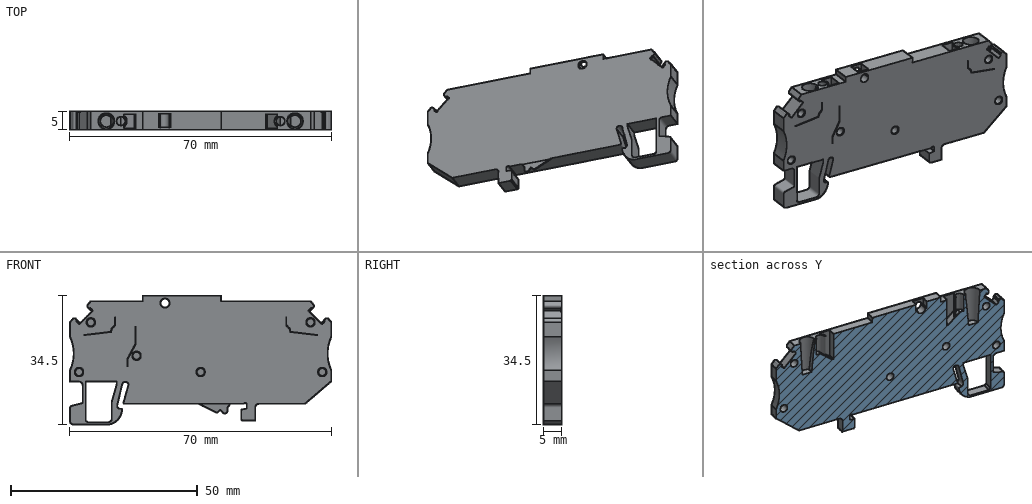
import cadquery as cq
import math

length = 70.0
thickness = 5.0
height = 34.5
cover_thickness = 0.3

front_y = -thickness / 2
back_y = thickness / 2
cover_y = back_y - cover_thickness
mid_x = length / 2
cavity_y = (front_y + cover_y) / 2

shoulder_z = height - 1.45
base_z = 5.5
wing_z = 11.45
arm_outer_x = 3.4
wing_fillet = 1.0
foot_fillet = 0.9
block_left = 19.5
block_right = 40.5

grip_low = 14.5
grip_high = 23.5
grip_depth = 1.0

lip_height = 27.4
lip_top = 28.5
lip_round_z = 28.2
lip_outer = 0.75
lip_inner = 1.65
hook_x = 4.8
hook_low = 31.35
hook_high = 32.1
hook_tip_x = 4.65
hook_top_x = 5.6
notch_low = (2.75, 27.1)
notch_high = (5.9, 30.25)
undercut_shift = 0.25
undercut_width = 0.75

entry_x = 9.75
entry_diameter = 4.3
entry_floor_diameter = 3.2
entry_depth = 10.0
entry_flat = 1.15
entry_flat_top = 1.6

probe_x = 13.65
probe_diameter = 2.35
probe_wall_diameter = 3.25
probe_depth = 5.0
release_start = 14.45
release_slope_end = 17.2
release_end = 17.6
release_width = 3.8
release_corner = 0.25
release_angle = 40.0

cross_x = 25.45
cross_z = 32.5
cross_diameter = 2.4
window_left = 23.85
window_right = 27.05
window_width = 3.6

pin_diameter = 2.05
pin_mouth_diameter = 2.35
pin_depth = 3.0
pin_mouth_depth = 0.15
upper_pin = (5.6, 27.35)
lower_pin = (2.45, 14.05)
inner_pin_x = 17.85
inner_pin_z = 18.4

tongue_overlap = 0.5

groove_width = 0.1
groove_depth = 0.1


def extrude_y(sketch, y_start, y_end):
    """Extrude a closed XZ wire from y_start to y_end."""
    return sketch.extrude(y_start - y_end).translate((0, y_start, 0))


def mirrored(shape):
    """Copy of a shape at the opposite end of the housing."""
    return shape.mirror("YZ", (mid_x, 0, 0))


def housing_outline():
    """Closed XZ outline, run from the left wing over the rail feet and back along the top."""
    grip_mid = (grip_low + grip_high) / 2
    lip_mid = (lip_outer + lip_inner) / 2
    hook_mid = (hook_low + hook_high) / 2
    outline = cq.Workplane("XZ").moveTo(0, wing_z)
    outline = (
        outline.lineTo(arm_outer_x - wing_fillet, wing_z)
        .radiusArc((arm_outer_x, wing_z - wing_fillet), wing_fillet)
        .lineTo(arm_outer_x, 6.1)
        .threePointArc((3.34, 5.85), (3.1, 5.7))
        .lineTo(0.6, 5.05)
        .threePointArc((0.15, 4.78), (0, 4.3))
        .lineTo(0, foot_fillet)
        .radiusArc((foot_fillet, 0), -foot_fillet)
        .lineTo(10.6, 0)
        .threePointArc((12.9, 1.35), (14.0, 3.9))
        .threePointArc((13.95, 4.15), (13.7, 4.25))
        .lineTo(13.2, 4.25)
        .threePointArc((12.75, 4.7), (12.75, 5.4))
        .lineTo(14.05, 10.85)
        .threePointArc((14.9, 11.4), (15.65, 10.65))
        .lineTo(14.35, 5.95)
        .threePointArc((14.4, 5.65), (14.7, base_z))
    )
    outline = (
        outline.lineTo(46.5, base_z)
        .threePointArc((46.95, 5.75), (47.3, 5.4))
        .lineTo(47.3, 4.3)
        .lineTo(45.8, 4.0)
        .lineTo(45.8, 1.35)
        .lineTo(46.1, 1.05)
        .lineTo(49.65, 1.05)
        .lineTo(49.65, 4.5)
        .threePointArc((49.9, 5.2), (50.6, base_z))
        .lineTo(62.9, base_z)
    )
    outline = (
        outline.lineTo(length, 11.6)
        .lineTo(length, grip_low)
        .threePointArc((length - grip_depth, grip_mid), (length, grip_high))
        .lineTo(length, lip_height)
        .lineTo(length - lip_outer, lip_round_z)
        .threePointArc((length - lip_mid, lip_top), (length - lip_inner, lip_round_z))
        .lineTo(length - notch_low[0], notch_low[1])
        .lineTo(length - notch_high[0], notch_high[1])
        .lineTo(length - hook_x, hook_low)
        .threePointArc((length - hook_tip_x, hook_mid), (length - hook_x, hook_high))
        .lineTo(length - hook_top_x, shoulder_z)
    )
    return (
        outline.lineTo(block_right, shoulder_z)
        .lineTo(block_right, height)
        .lineTo(block_left, height)
        .lineTo(block_left, shoulder_z)
        .lineTo(hook_top_x, shoulder_z)
        .lineTo(hook_x, hook_high)
        .threePointArc((hook_tip_x, hook_mid), (hook_x, hook_low))
        .lineTo(*notch_high)
        .lineTo(*notch_low)
        .lineTo(lip_inner, lip_round_z)
        .threePointArc((lip_mid, lip_top), (lip_outer, lip_round_z))
        .lineTo(0, lip_height)
        .lineTo(0, grip_high)
        .threePointArc((grip_depth, grip_mid), (0, grip_low))
        .close()
    )


def arm_window():
    """Opening between the flexible arm and the latch foot."""
    opening = (
        cq.Workplane("XZ")
        .moveTo(4.25, wing_z)
        .lineTo(12.5, wing_z)
        .lineTo(12.5, 10.7)
        .lineTo(11.2, 6.15)
        .lineTo(11.2, 1.5)
        .threePointArc((10.9, 0.9), (10.3, 0.65))
        .lineTo(4.8, 0.65)
        .lineTo(4.25, 1.0)
        .close()
    )
    return extrude_y(opening, front_y, back_y)


def notch_undercut(corner, direction):
    """Undercut extending one end of the left notch floor; it stops at the cover sheet.

    The direction is -1 at the lower corner and +1 at the upper corner.
    """
    x, z = corner
    shift = direction * undercut_shift
    outline = cq.Workplane("XZ").polyline(
        [
            (x, z),
            (x + shift, z + shift),
            (x + shift - undercut_width, z + shift + undercut_width),
            (x - undercut_width, z + undercut_width),
        ]
    )
    return extrude_y(outline.close(), front_y, cover_y)


def cover_tongue():
    """Latch tongue of the cover sheet, hanging below the base."""
    root_z = base_z + tongue_overlap
    tongue = (
        cq.Workplane("XZ")
        .moveTo(34.5, root_z)
        .lineTo(34.5, base_z)
        .lineTo(39.4, 3.1)
        .lineTo(40.25, 3.95)
        .lineTo(40.9, 3.2)
        .threePointArc((41.6, 2.95), (42.2, 3.65))
        .lineTo(42.2, 4.5)
        .lineTo(42.9, base_z)
        .lineTo(42.9, root_z)
        .close()
    )
    return extrude_y(tongue, cover_y, back_y)


def wire_entry():
    """Tapering wire hole with one sloped flat on its inner side."""
    radius = entry_diameter / 2
    floor_z = shoulder_z - entry_depth
    funnel = cq.Workplane(
        cq.Solid.makeCone(
            entry_floor_diameter / 2, radius, entry_depth, cq.Vector(entry_x, cavity_y, floor_z)
        )
    )
    sloped_side = (
        cq.Workplane("XZ")
        .moveTo(entry_x - radius, floor_z)
        .lineTo(entry_x + entry_flat, floor_z)
        .lineTo(entry_x + entry_flat_top, floor_z + entry_depth / 2)
        .lineTo(entry_x + radius, shoulder_z)
        .lineTo(entry_x - radius, shoulder_z)
        .close()
    )
    return funnel.intersect(extrude_y(sloped_side, front_y, back_y))


def release_opening():
    """Release pocket with a sloped floor, joined to the test hole behind a thin round wall."""
    floor_z = shoulder_z - probe_depth
    slope_drop = (release_slope_end - probe_x) * math.tan(math.radians(release_angle))
    deep_z = floor_z - slope_drop
    release_length = release_end - release_start
    side_profile = (
        cq.Workplane("XZ")
        .moveTo(probe_x - probe_diameter, shoulder_z)
        .lineTo(probe_x - probe_diameter, floor_z)
        .lineTo(probe_x, floor_z)
        .lineTo(release_slope_end, deep_z)
        .lineTo(release_end, deep_z)
        .lineTo(release_end, shoulder_z)
        .close()
    )
    plan = cq.Workplane("XY", origin=(0, 0, deep_z))
    full_depth = shoulder_z - deep_z
    pocket = (
        plan.center(release_start + release_length / 2, cavity_y)
        .rect(release_length, release_width)
        .extrude(full_depth)
        .edges("|Z and <X")
        .fillet(release_corner)
    )
    probe_plan = plan.center(probe_x, cavity_y)
    wall = probe_plan.circle(probe_wall_diameter / 2).extrude(full_depth)
    hole = probe_plan.circle(probe_diameter / 2).extrude(full_depth)
    return pocket.cut(wall).union(hole).intersect(extrude_y(side_profile, front_y, back_y))


def cross_hole():
    """Round hole through the full thickness."""
    return extrude_y(
        cq.Workplane("XZ").center(cross_x, cross_z).circle(cross_diameter / 2), front_y, back_y
    )


def cross_window():
    """Rectangular window from the top of the block down to the middle of the cross hole."""
    window_length = window_right - window_left
    return (
        cq.Workplane("XY", origin=(window_left + window_length / 2, 0, cross_z))
        .rect(window_length, window_width)
        .extrude(height - cross_z)
    )


def pin_holes():
    """Blind pin holes in the -Y face, each with a chamfered mouth."""
    centers = [(inner_pin_x, inner_pin_z), (mid_x, lower_pin[1])]
    for x, z in (upper_pin, lower_pin):
        centers.append((x, z))
        centers.append((length - x, z))
    holes = extrude_y(
        cq.Workplane("XZ").pushPoints(centers).circle(pin_diameter / 2), front_y, front_y + pin_depth
    )
    for x, z in centers:
        mouth = cq.Solid.makeCone(
            pin_mouth_diameter / 2,
            pin_diameter / 2,
            pin_mouth_depth,
            cq.Vector(x, front_y, z),
            cq.Vector(0, 1, 0),
        )
        holes = holes.union(cq.Workplane(mouth))
    return holes


def hairline(points):
    """Thin groove in the -Y face along a chain of XZ points."""
    path = cq.Workplane("XZ").polyline(points).offset2D(groove_width / 2)
    return extrude_y(path, front_y, front_y + groove_depth)


clamp_line = hairline([(3.85, 23.95), (11.0, 24.8), (11.15, 25.6), (12.1, 26.6), (12.1, 28.6)])
spring_line = hairline([(15.45, 15.6), (15.45, 17.6), (17.55, 21.5), (17.55, 26.1)])

result = extrude_y(housing_outline(), front_y, back_y).union(cover_tongue())
end_features = (
    notch_undercut(notch_low, -1),
    notch_undercut(notch_high, 1),
    wire_entry(),
    release_opening(),
    clamp_line,
)
for end_feature in end_features:
    result = result.cut(end_feature).cut(mirrored(end_feature))
for feature in (arm_window(), cross_hole(), cross_window(), pin_holes(), spring_line):
    result = result.cut(feature)